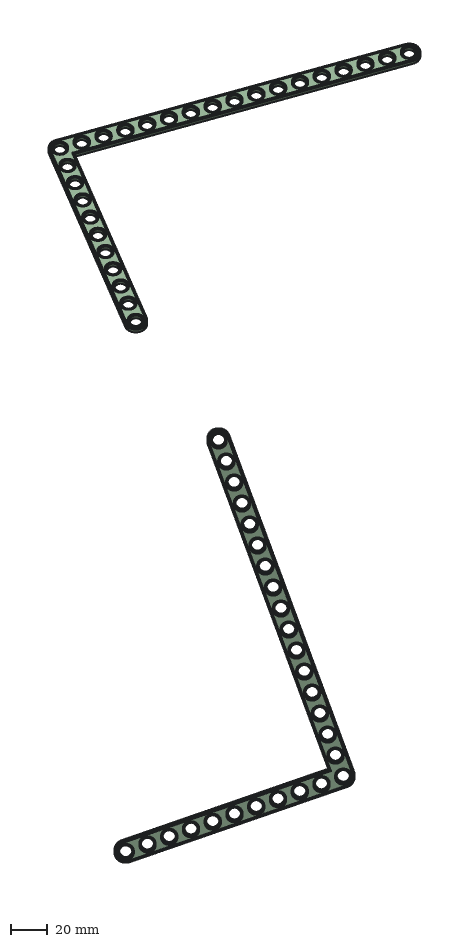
import cadquery as cq

long_arm_holes = 17
short_arm_holes = 11
overall_length = 212.5
thickness = 3.2
hole_diameter = 7.0
collar_diameter = 9.1
edge_chamfer = 0.35
recess_depth = 0.25

pitch = overall_length / long_arm_holes
strip_width = pitch
rim_width = (collar_diameter - hole_diameter) / 2
field_width = strip_width - 2 * rim_width

hole_centers = [(i * pitch, 0) for i in range(short_arm_holes)]
hole_centers += [(0, i * pitch) for i in range(1, long_arm_holes)]


def round_ended_arm(hole_count, width, height):
    """Strip along X whose round ends are centred on its first and last holes."""
    span = (hole_count - 1) * pitch
    return cq.Workplane("XY").center(span / 2, 0).slot2D(span + width, width).extrude(height)


def l_shape(width, height):
    """Two arms at a right angle that share the corner hole at the origin."""
    short_arm = round_ended_arm(short_arm_holes, width, height)
    long_arm = round_ended_arm(long_arm_holes, width, height).rotate((0, 0, 0), (0, 0, 1), 90)
    return short_arm.union(long_arm).clean()


def recess_cutter():
    """Shallow field inside the rim, leaving the collars standing."""
    collars = cq.Workplane("XY").pushPoints(hole_centers).circle(collar_diameter / 2).extrude(recess_depth)
    return l_shape(field_width, recess_depth).cut(collars)


def hole_cutter():
    """Through hole chamfered at both mouths."""
    hole_radius = hole_diameter / 2
    mouth_radius = hole_radius + edge_chamfer
    return (
        cq.Workplane("XZ")
        .polyline([
            (0, 0),
            (mouth_radius, 0),
            (hole_radius, edge_chamfer),
            (hole_radius, thickness - edge_chamfer),
            (mouth_radius, thickness),
            (0, thickness),
        ])
        .close()
        .revolve(360, (0, 0, 0), (0, 1, 0))
    )


body = l_shape(strip_width, thickness).faces("<Z or >Z").chamfer(edge_chamfer)

recess = recess_cutter()
for recess_base in (0, thickness - recess_depth):
    body = body.cut(recess.translate((0, 0, recess_base)))

hole = hole_cutter()
for x, y in hole_centers:
    body = body.cut(hole.translate((x, y, 0)))

result = body